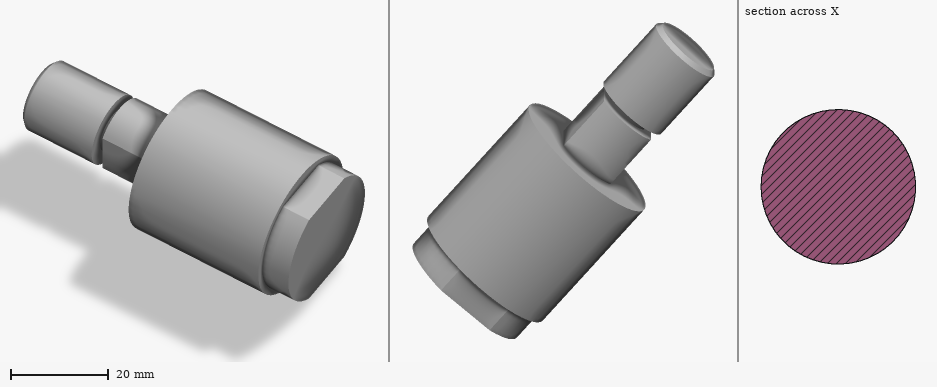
import cadquery as cq

stud_length = 17.45
neck_length = 1.6
shank_length = 12.65
body_length = 31.8
end_length = 6.35

stud_diameter = 15.9
neck_diameter = 9.6
body_diameter = 31.8
end_diameter = 28.65
shank_flats = 12.7
end_flats = 25.4
tip_chamfer = 1.0

neck_start = stud_length
shank_start = neck_start + neck_length
body_start = shank_start + shank_length
end_start = body_start + body_length


def cylinder(start, length, diameter):
    """Solid cylinder along +X."""
    return cq.Workplane("YZ", origin=(start, 0, 0)).circle(diameter / 2).extrude(length)


def flatted_cylinder(start, length, diameter, width_y, width_z):
    """Cylinder along +X trimmed to the given widths in Y and Z."""
    envelope = cq.Workplane("YZ", origin=(start, 0, 0)).rect(width_y, width_z).extrude(length)
    return cylinder(start, length, diameter).intersect(envelope)


stud = cylinder(0, stud_length, stud_diameter).faces("<X").chamfer(tip_chamfer)

neck = cylinder(neck_start, neck_length, neck_diameter)
shank = flatted_cylinder(shank_start, shank_length, stud_diameter, shank_flats, stud_diameter)

body = cylinder(body_start, body_length, body_diameter)
end_boss = flatted_cylinder(end_start, end_length, end_diameter, end_diameter, end_flats)

result = stud.union(neck).union(shank).union(body).union(end_boss)